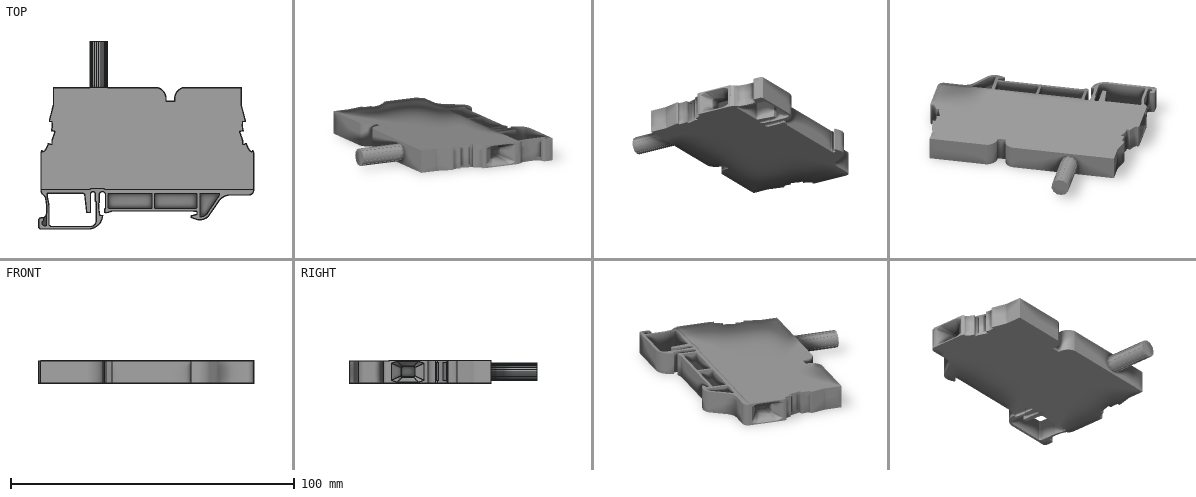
import cadquery as cq
import math

length = 76.05
thickness = 8.1
step_height = 0.2
foot_thickness = thickness - step_height
mid_plane_z = 4.0

housing_half = 37.65
housing_mid = length - housing_half
housing_left = housing_mid - housing_half
housing_top = 50.05
foot_top = 13.9

pin_radius = 3.1
pin_groove_depth = 0.115
pin_groove_count = 12
pin_x = 21.2
pin_tip_y = 66.3
pin_embed = 1.5

notch_center = 46.55
notch_half_floor = 1.5
notch_half_mouth = 4.5
notch_floor_y = 45.25
notch_neck_y = 46.6

throat_depth_shallow = 2.8
throat_depth_deep = 5.2
bore_end_depth = 6.85
funnel_mouth = (14.8, 26.4, 0.4, 7.75)
funnel_throat = (18.2, 23.2, 2.1, 6.1)
bore_end = (18.4, 23.2, 2.35, 5.85)
funnel_mouth_corner = (2.0, 0.7)
funnel_throat_corner = (0.45, 0.45)

recess_z_min = 0.9
recess_z_max = 7.3
round_recess_radius = 0.7
round_recess_x = 5.4
round_recess_y = 33.8
square_recess_depth = 0.75
square_recess_y_min = 30.7
square_recess_y_max = 31.5

spring_floor = 1.0
foot_inner_top = 12.6
pocket_depth = 3.5
pocket_y_min = 7.4
pocket_corner = 0.3
pocket_rows = ((24.6, 40.1), (41.0, 55.9))
hook_floor_z = 1.2
slot_top = 13.2
inner_slot_radius = 0.8
outer_slot_radius = 1.1


def prism(outline, z_min, z_max):
    """Extrude a closed XY outline between two heights."""
    return outline.extrude(z_max - z_min).translate((0, 0, z_min))


def block(x_min, x_max, y_min, y_max, z_min, z_max):
    size = (x_max - x_min, y_max - y_min, z_max - z_min)
    return cq.Workplane("XY").box(*size, centered=False).translate((x_min, y_min, z_min))


def mirrored_pair(solid):
    """A left-end feature together with its twin at the right end."""
    twin = solid.mirror("YZ", (housing_mid, 0, 0))
    return solid.union(twin)


def end_profile(wire, side):
    """Draw one stepped, toothed end from its top corner downwards; side is -1 left, +1 right."""
    def at(inset, y):
        return (housing_mid + side * (housing_half - inset), y)

    return (
        wire.lineTo(*at(4.4, housing_top))
        .lineTo(*at(4.4, 43.8))
        .lineTo(*at(3.05, 38.5))
        .lineTo(*at(3.05, 37.95))
        .lineTo(*at(3.95, 37.95))
        .lineTo(*at(3.95, 37.4))
        .threePointArc(at(4.0, 36.4), at(3.9, 35.5))
        .lineTo(*at(3.7, 34.75))
        .lineTo(*at(5.0, 34.5))
        .lineTo(*at(3.9, 31.2))
        .lineTo(*at(3.9, 30.0))
        .lineTo(*at(3.5, 30.0))
        .lineTo(*at(2.65, 30.35))
        .threePointArc(at(2.1, 28.9), at(1.4, 27.7))
        .lineTo(*at(0.8, 27.4))
        .lineTo(*at(0.3, 27.8))
        .lineTo(*at(0, 26.8))
        .lineTo(*at(0, foot_top))
    )


def housing():
    wire = cq.Workplane("XY").moveTo(housing_mid, housing_top)
    left_half = end_profile(wire, -1).lineTo(housing_mid, foot_top).close()
    wire = cq.Workplane("XY").moveTo(housing_mid, housing_top)
    right_half = end_profile(wire, 1).lineTo(housing_mid, foot_top).close()
    plate = prism(left_half, 0, thickness).union(prism(right_half, 0, thickness))
    return plate.cut(top_notch())


def top_notch():
    left = notch_center - notch_half_floor
    right = notch_center + notch_half_floor
    flank_x = 2.5
    flank_y = 48.75
    outline = (
        cq.Workplane("XY")
        .moveTo(left, notch_floor_y)
        .lineTo(right, notch_floor_y)
        .lineTo(right, notch_neck_y)
        .threePointArc((notch_center + flank_x, flank_y), (notch_center + notch_half_mouth, housing_top))
        .lineTo(notch_center - notch_half_mouth, housing_top)
        .threePointArc((notch_center - flank_x, flank_y), (left, notch_neck_y))
        .close()
    )
    return prism(outline, 0, thickness)


def funnel():
    """Eight-sided entry narrowing to a throat, followed by a blind bore."""
    def section(limits, corner, depth_at_y_max, depth_at_y_min):
        y_min, y_max, z_min, z_max = limits
        cut_y, cut_z = corner
        corners = [
            (y_min + cut_y, z_min),
            (y_max - cut_y, z_min),
            (y_max, z_min + cut_z),
            (y_max, z_max - cut_z),
            (y_max - cut_y, z_max),
            (y_min + cut_y, z_max),
            (y_min, z_max - cut_z),
            (y_min, z_min + cut_z),
        ]
        lean = (depth_at_y_min - depth_at_y_max) / (y_max - y_min)
        left = housing_left + depth_at_y_max
        points = [cq.Vector(left + lean * (y_max - y), y, z) for y, z in corners]
        return cq.Wire.makePolygon(points, close=True)

    mouth = section(funnel_mouth, funnel_mouth_corner, 0, 0)
    throat = section(funnel_throat, funnel_throat_corner, throat_depth_shallow, throat_depth_deep)
    bottom = section(bore_end, funnel_throat_corner, bore_end_depth, bore_end_depth)
    entry = cq.Workplane(cq.Solid.makeLoft([mouth, throat], True))
    return entry.union(cq.Workplane(cq.Solid.makeLoft([throat, bottom], True)))


def end_recesses():
    round_recess = prism(
        cq.Workplane("XY").center(round_recess_x, round_recess_y).circle(round_recess_radius),
        recess_z_min,
        recess_z_max,
    )
    face_x = 4.7
    square_recess = block(
        face_x - square_recess_depth,
        face_x + square_recess_depth,
        square_recess_y_min,
        square_recess_y_max,
        recess_z_min,
        recess_z_max,
    )
    return round_recess.union(square_recess)


def pin():
    """Round pin with evenly spaced shallow lengthwise grooves."""
    pin_length = pin_tip_y - housing_top + pin_embed
    strip = math.pi / pin_groove_count
    groove_radius = pin_radius - pin_groove_depth

    def at(radius, angle):
        return (radius * math.cos(angle), radius * math.sin(angle))

    outline = cq.Workplane("XY").moveTo(pin_radius, 0)
    for index in range(pin_groove_count):
        start = 2 * index * strip
        outline = outline.threePointArc(at(pin_radius, start + strip / 2), at(pin_radius, start + strip))
        outline = outline.lineTo(*at(groove_radius, start + strip))
        outline = outline.threePointArc(
            at(groove_radius, start + 1.5 * strip), at(groove_radius, start + 2 * strip)
        )
        if index < pin_groove_count - 1:
            outline = outline.lineTo(*at(pin_radius, start + 2 * strip))
    shaft = outline.close().extrude(pin_length)
    return shaft.rotate((0, 0, 0), (1, 0, 0), -90).translate((pin_x, housing_top - pin_embed, mid_plane_z))


def foot():
    outline = (
        cq.Workplane("XY")
        .moveTo(housing_left, foot_top)
        .lineTo(housing_left, 13.5)
        .lineTo(1.15, 12.55)
        .threePointArc((1.8, 11.95), (2.35, 11.25))
        .lineTo(2.7, 9.0)
        .threePointArc((2.8, 8.1), (2.8, 7.4))
        .lineTo(2.8, 5.85)
        .threePointArc((2.5, 4.8), (1.8, 4.0))
        .lineTo(0.9, 4.0)
        .threePointArc((0.3, 3.8), (0, 3.1))
        .lineTo(0, 0.6)
        .lineTo(0.6, 0)
        .lineTo(17.6, 0)
        .threePointArc((21.0, 1.4), (22.7, 4.9))
        .lineTo(21.7, 4.9)
        .lineTo(21.4, 6.5)
        .lineTo(21.2, 9.05)
        .lineTo(21.45, 9.35)
        .lineTo(21.45, slot_top - outer_slot_radius)
        .threePointArc((22.5, slot_top), (23.6, slot_top - outer_slot_radius))
        .lineTo(23.6, 7.45)
        .lineTo(23.35, 7.15)
        .lineTo(23.35, 5.9)
        .lineTo(23.9, 5.8)
        .lineTo(24.5, 5.85)
        .lineTo(26.0, 6.4)
        .lineTo(54.6, 6.4)
        .lineTo(55.0, 6.2)
        .lineTo(55.9, 6.3)
        .lineTo(55.9, 5.25)
        .lineTo(53.85, 4.7)
        .lineTo(53.85, 4.1)
        .lineTo(56.1, 3.35)
        .threePointArc((58.7, 3.65), (60.6, 5.4))
        .lineTo(63.7, 10.0)
        .threePointArc((65.5, 11.5), (67.9, 12.0))
        .lineTo(73.8, 12.0)
        .threePointArc((75.45, 12.55), (length, foot_top))
        .close()
    )
    return prism(outline, 0, foot_thickness)


def foot_window():
    """Opening behind the spring arm, with the tongue and the first slot."""
    outline = (
        cq.Workplane("XY")
        .moveTo(3.1, foot_inner_top)
        .lineTo(3.1, 11.2)
        .threePointArc((3.5, 9.6), (3.7, 7.8))
        .lineTo(3.7, 1.45)
        .lineTo(4.25, spring_floor)
        .lineTo(18.3, spring_floor)
        .threePointArc((19.7, 1.5), (20.3, 2.8))
        .lineTo(20.3, 9.65)
        .lineTo(20.0, 9.9)
        .lineTo(20.0, slot_top - inner_slot_radius)
        .threePointArc((19.2, slot_top), (18.3, slot_top - inner_slot_radius))
        .lineTo(18.3, 5.85)
        .lineTo(16.95, 5.85)
        .lineTo(16.3, 12.0)
        .threePointArc((16.1, 12.4), (15.75, foot_inner_top))
        .close()
    )
    return prism(outline, 0, foot_thickness)


def hook_groove():
    outline = (
        cq.Workplane("XY")
        .moveTo(2.8, 5.85)
        .lineTo(1.75, 5.85)
        .lineTo(1.75, 3.05)
        .lineTo(1.2, 2.5)
        .threePointArc((2.0, 1.2), (2.8, 1.4))
        .close()
    )
    return prism(outline, hook_floor_z, foot_thickness)


def foot_pockets():
    floor_z = foot_thickness - pocket_depth
    brace = (
        cq.Workplane("XY")
        .moveTo(57.0, foot_inner_top)
        .lineTo(57.0, 4.3)
        .threePointArc((58.6, 4.7), (59.85, 6.0))
        .lineTo(63.9, 12.0)
        .lineTo(63.9, foot_inner_top)
        .close()
    )
    pockets = prism(brace, floor_z, foot_thickness)
    for x_min, x_max in pocket_rows:
        pocket = block(x_min, x_max, pocket_y_min, foot_inner_top, floor_z, foot_thickness)
        pockets = pockets.union(pocket.edges("|Z").fillet(pocket_corner))
    return pockets


def step_relief():
    """Raised stretch of the step line above the two slots."""
    outline = cq.Workplane("XY").polyline([(17.95, foot_top), (18.6, 14.4), (22.9, 14.4), (23.7, foot_top)])
    return prism(outline.close(), foot_thickness, thickness)


def corner_relief():
    """Lower half of the left foot corner, cut back to the start of the foot."""
    outline = cq.Workplane("XY").polyline([(housing_left, 14.1), (housing_left, 13.5), (1.15, 12.55)])
    return prism(outline.close(), 0, mid_plane_z)


end_features = mirrored_pair(funnel().union(end_recesses()))
rail_foot = foot().cut(foot_window()).cut(foot_pockets())
result = housing().union(rail_foot).union(pin())
result = result.cut(end_features).cut(hook_groove()).cut(step_relief()).cut(corner_relief()).clean()